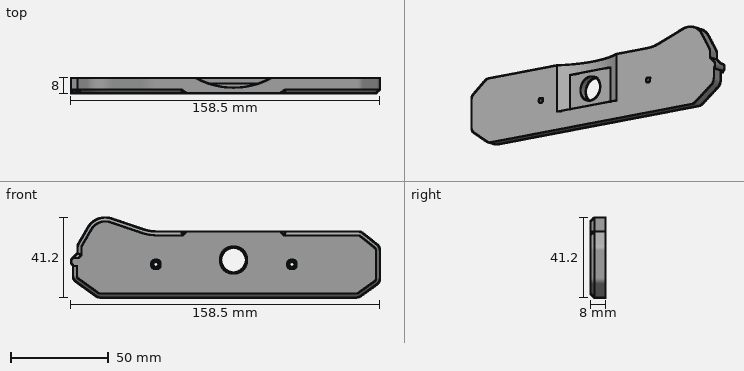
import cadquery as cq
import math

length = 158.5
thickness = 8.0
height = 41.2

spine_z = 34.0
hump_radius = 10.3
hump_x = 17.6
hump_z = height - hump_radius
hump_rise_angle = 60.0
hump_fall_angle = 18.7
dip_radius = 19.0
neck_x = 3.3
neck_radius = 3.5
lower_left_x = 1.0
lower_left_corner = (14.0, 9.4)
lower_right_corner = (147.4, 8.0)
upper_right_corner = (148.5, 26.2)
corner_radius = 4.0
nose_radius = 2.2
nose_z = 18.5

edge_chamfer = 2.0
plain_start_x = 56.5
plain_end_x = 110.2
nose_plain_bottom = 16.2
nose_plain_top = 20.5

main_hole_x = 83.4
main_hole_z = 19.3
main_hole_diameter = 12.7
main_hole_chamfer = 0.6
screw_spacing = 69.7
first_screw_x = 43.6
screw_z = 17.1
screw_diameter = 2.7
screw_head_diameter = 4.9

scoop_width = 38.7
scoop_depth = 5.0
scoop_shallow_depth = 2.9
scoop_ledge_z = 28.5
scoop_floor_z = 9.5


def on_hump(angle):
    """Point on the hump circle, angle in degrees from +X."""
    a = math.radians(angle)
    return (hump_x + hump_radius * math.cos(a), hump_z + hump_radius * math.sin(a))


def prism(profile):
    """Extrude a profile in X and Z through the full thickness, front face at Y = 0."""
    return profile.close().extrude(-thickness)


def round_corner(body, x, z, radius):
    """Round the edge along Y that passes through (x, z)."""
    reach = 0.02
    edge = cq.selectors.BoxSelector(
        (x - reach, 0, z - reach), (x + reach, thickness, z + reach)
    )
    return body.edges(edge).fillet(radius)


def outline_body(for_chamfer):
    """Plate with its rounded outline.

    The variant for chamfering has no nose, and the middle of its upper edge is raised at
    45 degrees so that the chamfer there runs clear of the real outline.
    """
    hump_start = on_hump(90 + hump_rise_angle)
    hump_end = on_hump(90 - hump_fall_angle)
    rise_slope = math.tan(math.radians(hump_rise_angle))
    fall_slope = math.tan(math.radians(hump_fall_angle))
    neck_top = (neck_x, hump_start[1] - (hump_start[0] - neck_x) * rise_slope)
    dip = (hump_end[0] + (hump_end[1] - spine_z) / fall_slope, spine_z)

    nose_low = (
        lower_left_x,
        nose_z - math.sqrt(nose_radius**2 - (nose_radius - lower_left_x) ** 2),
    )
    diagonal = nose_radius * math.sqrt(0.5)
    nose_high = (nose_radius - diagonal, nose_z + diagonal)
    neck_bottom = (neck_x, nose_high[1] + neck_x - nose_high[0])

    profile = (
        cq.Workplane("XZ")
        .moveTo(lower_left_corner[0], 0)
        .lineTo(lower_left_x, lower_left_corner[1])
    )
    if for_chamfer:
        profile = profile.lineTo(lower_left_x, neck_bottom[1] - neck_x + lower_left_x)
    else:
        profile = profile.lineTo(*nose_low).threePointArc((0, nose_z), nose_high)
    profile = (
        profile.lineTo(*neck_bottom)
        .lineTo(*neck_top)
        .lineTo(*hump_start)
        .threePointArc(on_hump(90), hump_end)
        .lineTo(*dip)
    )
    if for_chamfer:
        bump = 2 * edge_chamfer
        profile = (
            profile.lineTo(plain_start_x, spine_z)
            .lineTo(plain_start_x + bump, spine_z + bump)
            .lineTo(plain_end_x - bump, spine_z + bump)
            .lineTo(plain_end_x, spine_z)
        )
    profile = (
        profile.lineTo(upper_right_corner[0], spine_z)
        .lineTo(length, upper_right_corner[1])
        .lineTo(length, lower_right_corner[1])
        .lineTo(lower_right_corner[0], 0)
    )
    body = prism(profile)

    body = round_corner(body, *neck_top, neck_radius)
    body = round_corner(body, *dip, dip_radius)
    for x, z in (
        (lower_left_corner[0], 0),
        (lower_left_x, lower_left_corner[1]),
        (upper_right_corner[0], spine_z),
        (length, upper_right_corner[1]),
        (length, lower_right_corner[1]),
        (lower_right_corner[0], 0),
    ):
        body = round_corner(body, x, z, corner_radius)
    return body


def chamfered_plate():
    """Plate with a front chamfer that fades out along the upper edge and stops at the nose."""
    plain = outline_body(for_chamfer=False)
    raised = outline_body(for_chamfer=True)
    trimmed = raised.faces("<Y").chamfer(edge_chamfer).intersect(plain)
    nose_block = (
        cq.Workplane("XY")
        .box(neck_x + edge_chamfer, thickness, nose_plain_top - nose_plain_bottom, centered=False)
        .translate((0, 0, nose_plain_bottom))
    )
    return trimmed.union(plain.intersect(nose_block))


def hole(x, z, diameter, mouth_diameter):
    """Through hole with a 45 degree countersink on the front face."""
    sink = (mouth_diameter - diameter) / 2
    return (
        cq.Workplane("XY")
        .lineTo(mouth_diameter / 2, 0)
        .lineTo(diameter / 2, sink)
        .lineTo(diameter / 2, thickness)
        .lineTo(0, thickness)
        .close()
        .revolve(360, (0, 0), (0, 1))
        .translate((x, 0, z))
    )


def finger_scoop():
    """Upright round cut from the back, open at the upper edge and shallower below a ledge."""
    radius = ((scoop_width / 2) ** 2 + scoop_depth**2) / (2 * scoop_depth)
    cylinder = (
        cq.Workplane("XY", origin=(main_hole_x, thickness - scoop_depth + radius, 0))
        .circle(radius)
        .extrude(height)
    )
    side = (
        cq.Workplane("YZ")
        .moveTo(thickness - scoop_depth, height)
        .lineTo(thickness - scoop_depth, scoop_ledge_z)
        .lineTo(thickness - scoop_shallow_depth, scoop_ledge_z)
        .lineTo(thickness - scoop_shallow_depth, scoop_floor_z)
        .lineTo(thickness, scoop_floor_z)
        .lineTo(thickness, height)
        .close()
        .extrude(length)
    )
    return cylinder.intersect(side)


result = chamfered_plate().cut(finger_scoop())
main_mouth_diameter = main_hole_diameter + 2 * main_hole_chamfer
result = result.cut(hole(main_hole_x, main_hole_z, main_hole_diameter, main_mouth_diameter))
for screw_x in (first_screw_x, first_screw_x + screw_spacing):
    result = result.cut(hole(screw_x, screw_z, screw_diameter, screw_head_diameter))